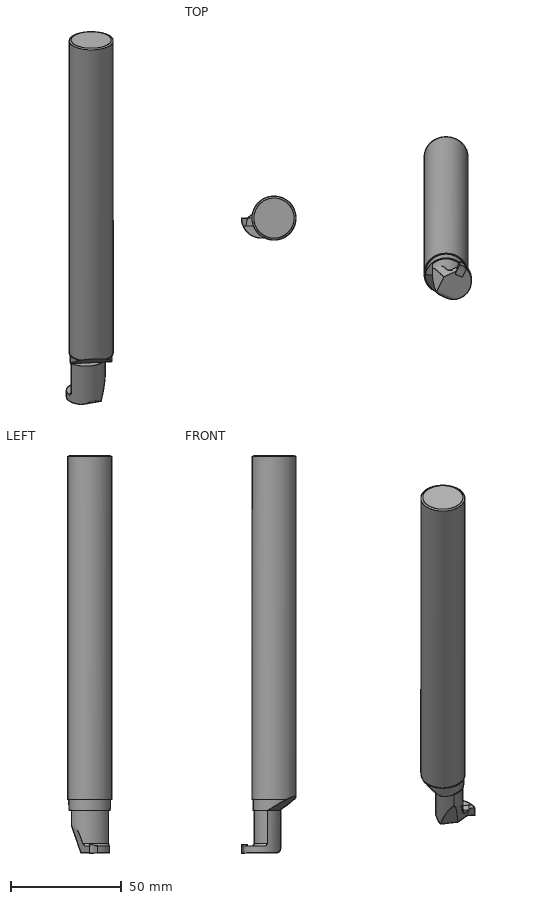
import cadquery as cq

overall_length = 180.0
shank_radius = 9.98
shank_bottom = 24.5
shank_chamfer_width = 0.9
shank_chamfer_height = 0.4

collar_radius = 9.5
collar_bottom = 19.5
neck_radius = 9.05

tip_x = -14.75
head_radius = 8.85
head_centre_x = -5.8
head_centre_y = -0.2
head_right = head_centre_x + head_radius
head_bottom = 0.25
head_top = 3.5
head_corner_radius = 2.1

flare_radius = 9.6
flare_top = 4.5

slope_point = (shank_radius, 0, 25.7)
slope_normal = (0.612, -0.178, -1)

back_start = (0, 8.5, 13.2)
back_end_y = 4.0
back_normal = (0, back_start[2] - head_bottom, back_end_y - back_start[1])

clearance_point = (-11.7, 0, 2.0)
clearance_normal = (-0.62, 0.77, -0.17)

insert_depth = 3.6
insert_inner_x = -9.6
cutting_end_x = -12.0
cutting_top = 4.2
cutting_land_depth = 1.9
cutting_land_relief = 0.1
cutting_heel_relief = 0.75
cutting_heel_x = -12.7

cutter_size = 80.0


def half_space(point, normal):
    """A block that fills the side of a plane to which the normal points."""
    plane = cq.Plane(origin=point, normal=normal)
    return cq.Workplane(plane).rect(cutter_size, cutter_size).extrude(cutter_size)


def head_cylinder(top):
    """A cylinder with the outline of the head, from the underside of the head up to the given height."""
    base = cq.Workplane("XY", origin=(head_centre_x, head_centre_y, head_bottom))
    return base.circle(head_radius).extrude(top - head_bottom)


def make_shank():
    """The round bar and the collar below it, cut by the slope on the +X side."""
    shank_profile = [
        (0, collar_bottom),
        (collar_radius, collar_bottom),
        (collar_radius, shank_bottom),
        (shank_radius, shank_bottom),
        (shank_radius, overall_length - shank_chamfer_height),
        (shank_radius - shank_chamfer_width, overall_length),
        (0, overall_length),
    ]
    shank = cq.Workplane("XZ").polyline(shank_profile).close().revolve(360, (0, 0, 0), (0, 1, 0))
    return shank.cut(half_space(slope_point, slope_normal))


def make_neck_and_head():
    """The neck with its flare, standing on the head disc."""
    flare_profile = [
        (0, head_bottom),
        (flare_radius, head_bottom),
        (flare_radius, head_top),
        (neck_radius, flare_top),
        (neck_radius, collar_bottom),
        (0, collar_bottom),
    ]
    neck = cq.Workplane("XZ").polyline(flare_profile).close().revolve(360, (0, 0, 0), (0, 1, 0))
    neck = neck.intersect(head_cylinder(collar_bottom))
    disc = head_cylinder(head_top)
    body = neck.union(disc)
    body = body.cut(half_space(back_start, back_normal))
    body = body.cut(half_space(clearance_point, clearance_normal))
    return body.intersect(make_corner_envelope())


def make_corner_envelope():
    """A block around neck and head with the lower +X corner rounded."""
    width = head_right - tip_x
    height = collar_bottom - head_bottom
    envelope = cq.Workplane("XY", origin=(tip_x, 0, head_bottom))
    envelope = envelope.box(width, cutter_size, height, centered=(False, True, False))
    return envelope.edges("|Y and >X and <Z").fillet(head_corner_radius)


def make_insert_seat():
    """The recess that holds the insert, with the open space in front of its cutting face."""
    seat_corner = (tip_x, -insert_depth, head_bottom)
    seat_length = insert_inner_x - tip_x
    seat = cq.Workplane("XY", origin=seat_corner)
    seat = seat.box(seat_length, insert_depth, cutting_top, centered=False)
    space_length = clearance_point[0] - tip_x
    space = cq.Workplane("XY", origin=(tip_x, 0, head_bottom))
    space = space.box(space_length, head_radius, cutting_top, centered=False)
    return seat.union(space)


def make_insert():
    """The bar of the insert in its seat and the taller cutting end, tapered away from its face."""
    bar_length = insert_inner_x - tip_x
    bar = cq.Workplane("XY", origin=(tip_x, -insert_depth, head_bottom))
    bar = bar.box(bar_length, insert_depth, head_top - head_bottom, centered=False)

    face_corners = [
        (tip_x, 0),
        (tip_x, cutting_top),
        (cutting_end_x, cutting_top),
        (cutting_end_x, head_bottom),
    ]
    heel_corners = [
        (tip_x, head_bottom),
        (tip_x, head_top),
        (cutting_heel_x, head_top),
        (cutting_heel_x, head_bottom),
    ]
    cutting_end = cq.Workplane("XZ").polyline(face_corners).close()
    cutting_end = cutting_end.workplane(offset=insert_depth).polyline(heel_corners).close()
    cutting_end = cutting_end.loft(ruled=True)

    relieved_outline = [
        (tip_x, 0),
        (insert_inner_x, 0),
        (insert_inner_x, -insert_depth),
        (tip_x + cutting_heel_relief, -insert_depth),
        (tip_x + cutting_land_relief, -cutting_land_depth),
    ]
    relieved_block = cq.Workplane("XY").polyline(relieved_outline).close().extrude(cutting_top)
    return bar.union(cutting_end).intersect(relieved_block)


insert = make_insert()
holder = make_shank().union(make_neck_and_head())
holder = holder.cut(make_insert_seat()).cut(insert)

result = cq.Compound.makeCompound([holder.val(), insert.val()])